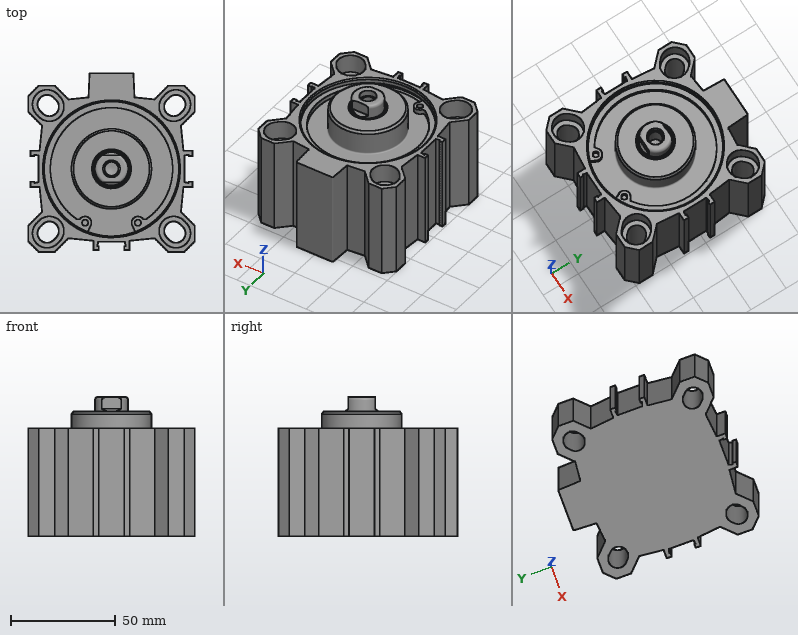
import cadquery as cq
import math


housing_height = 52.0
cover_top = 60.0
rod_top = 67.0

half_width = 40.0
wall_at_arm = 33.4
wall_at_rail = 34.6
arm_start = 20.7
arm_flat_start = arm_start + half_width - wall_at_arm
arm_flat_end = 34.9

rail_outer = 8.75
rail_lip_inner = 6.1
rail_web_inner = 6.75
rail_floor_inner = 6.35
rail_tip = 39.0
rail_lip_base = 37.1
rail_floor = 35.1
rail_root = 33.0
rail_side_angles = (0, 180, 270)

block_end = 46.0
block_end_half_width = 10.6
block_base_half_width = 11.15
block_root = 33.0
block_edge_radius = 0.5

hole_position = 30.4
hole_diameter = 9.0
counterbore_diameter = 14.0
counterbore_depth = 10.2
hole_stretch = 1.6

bore_diameter = 64.7
bore_chamfer = 0.7
groove_diameter = 68.2
ring_thickness = 2.5
ring_inner_diameter = 58.8
plate_top = 46.75
plate_thickness = 15.0
plate_bottom = plate_top - plate_thickness
ring_top = plate_top + ring_thickness

lug_distance = 28.85
lug_half_angle = 26.1
lug_radius = 3.05
lug_hole_diameter = 3.0
lug_fillet = 1.5

collar_diameter = 38.5
collar_chamfer_width = 1.0
collar_chamfer_height = 1.3
collar_fillet = 0.7

recess_diameter = 18.9
recess_floor_diameter = 18.0
recess_depth = 0.4
lip_outer_diameter = 17.7
lip_inner_diameter = 16.54
lip_height = 0.3

rod_diameter = 16.0
rod_edge_radius = 1.6
flat_distance = 6.5
flat_bottom = 61.3
flat_run_out = 1.5
thread_mouth_diameter = 8.25
thread_mouth_depth = 3.2
thread_core_diameter = 6.65
thread_core_depth = 15.0
drill_tip_angle = 160.0


def disc(diameter, bottom, top):
    return cq.Workplane("XY").workplane(offset=bottom).circle(diameter / 2).extrude(top - bottom)


def turned_about_z(points, angle):
    """Turn a list of XY points about the Z axis."""
    c = math.cos(math.radians(angle))
    s = math.sin(math.radians(angle))
    return [(x * c - y * s, x * s + y * c) for x, y in points]


def prism(points, height):
    return cq.Workplane("XY").polyline(points).close().extrude(height)


def revolved(profile):
    """Solid of revolution about Z from (radius, height) points."""
    return cq.Workplane("XZ").polyline(profile).close().revolve(360, (0, 0, 0), (0, 1, 0))



def housing_core():
    side_and_arm = [
        (wall_at_arm, -arm_start),
        (wall_at_rail, -rail_outer),
        (wall_at_rail, rail_outer),
        (wall_at_arm, arm_start),
        (half_width, arm_flat_start),
        (half_width, arm_flat_end),
        (arm_flat_end, half_width),
        (arm_flat_start, half_width),
    ]
    outline = []
    for angle in (0, 90, 180, 270):
        outline += turned_about_z(side_and_arm, angle)
    return prism(outline, housing_height)


def rail_pair(angle):
    upper_half = [
        (rail_floor, rail_floor_inner),
        (rail_lip_base, rail_web_inner),
        (rail_lip_base, rail_lip_inner),
        (rail_tip, rail_lip_inner),
        (rail_tip, rail_outer),
        (rail_root, rail_outer),
    ]
    lower_half = [(x, -y) for x, y in reversed(upper_half)]
    return prism(turned_about_z(upper_half + lower_half, angle), housing_height)


def port_block():
    outline = [
        (-block_base_half_width, block_root),
        (block_base_half_width, block_root),
        (block_end_half_width, block_end),
        (-block_end_half_width, block_end),
    ]
    block = prism(outline, housing_height)
    return block.faces(">Y").edges("|Z").fillet(block_edge_radius)


def diagonal_slot(diameter, bottom, angle):
    """Slot cutter at the corner in the given direction, open at the top of the housing."""
    return (
        cq.Workplane("XY")
        .workplane(offset=bottom)
        .transformed(rotate=(0, 0, angle))
        .center(hole_position * math.sqrt(2), 0)
        .slot2D(diameter + hole_stretch, diameter)
        .extrude(housing_height - bottom)
    )


def bore_cutter():
    """Bore down to the cover seat, with the snap ring groove and a chamfered mouth."""
    bore_radius = bore_diameter / 2
    profile = [
        (0, plate_bottom),
        (bore_radius, plate_bottom),
        (bore_radius, plate_top),
        (groove_diameter / 2, plate_top),
        (groove_diameter / 2, ring_top),
        (bore_radius, ring_top),
        (bore_radius, housing_height - bore_chamfer),
        (bore_radius + bore_chamfer, housing_height),
        (0, housing_height),
    ]
    return revolved(profile)


def make_housing():
    body = housing_core().union(port_block())
    for angle in rail_side_angles:
        body = body.union(rail_pair(angle))
    for angle in (45, 135, 225, 315):
        body = body.cut(diagonal_slot(hole_diameter, 0, angle))
        body = body.cut(diagonal_slot(counterbore_diameter, housing_height - counterbore_depth, angle))
    return body.cut(bore_cutter())



def make_cover():
    """Turned plate and collar; the rod fills its through hole below the seal recess."""
    collar_radius = collar_diameter / 2
    recess_bottom = cover_top - recess_depth
    profile = [
        (rod_diameter / 2, plate_bottom),
        (bore_diameter / 2, plate_bottom),
        (bore_diameter / 2, plate_top),
        (collar_radius, plate_top),
        (collar_radius, cover_top - collar_chamfer_height),
        (collar_radius - collar_chamfer_width, cover_top),
        (recess_diameter / 2, cover_top),
        (recess_floor_diameter / 2, recess_bottom),
        (lip_outer_diameter / 2, recess_bottom),
        (lip_inner_diameter / 2, recess_bottom + lip_height),
        (rod_diameter / 2, recess_bottom),
    ]
    cover = revolved(profile)
    root_band = cq.selectors.BoxSelector(
        (-collar_diameter, -collar_diameter, plate_top - 0.1),
        (collar_diameter, collar_diameter, plate_top + 0.1),
    )
    return cover.edges("%CIRCLE").edges(root_band).edges(cq.selectors.RadiusNthSelector(0)).fillet(collar_fillet)



def lug(side):
    """Eyelet with a straight shank reaching radially out; side is -1 or +1 along X."""
    angle = -90 + side * lug_half_angle
    shank_end = groove_diameter / 2
    shank_length = shank_end - lug_distance
    plane = cq.Workplane("XY").workplane(offset=plate_top).transformed(rotate=(0, 0, angle))
    eye = plane.center(lug_distance, 0).circle(lug_radius).extrude(ring_thickness)
    shank = plane.center(lug_distance + shank_length / 2, 0).rect(shank_length, 2 * lug_radius)
    return eye.union(shank.extrude(ring_thickness))


def lug_hole(side):
    angle = -90 + side * lug_half_angle
    x, y = turned_about_z([(lug_distance, 0)], angle)[0]
    return disc(lug_hole_diameter, plate_top, ring_top).translate((x, y, 0))


def make_snap_ring():
    outer = disc(groove_diameter, plate_top, ring_top)
    inner_radius = ring_inner_diameter / 2
    gap_reach = groove_diameter
    gap_corners = turned_about_z([(gap_reach, 0)], -90 - lug_half_angle)
    gap_corners += turned_about_z([(gap_reach, 0)], -90 + lug_half_angle)
    gap = prism([(0, 0)] + gap_corners, housing_height)
    ring = outer.cut(disc(ring_inner_diameter, plate_top, ring_top)).cut(gap)
    for side in (-1, 1):
        ring = ring.union(lug(side)).cut(lug_hole(side))
    ring = ring.intersect(outer)

    cosine = (inner_radius**2 + lug_distance**2 - lug_radius**2) / (2 * inner_radius * lug_distance)
    corner_half_angle = lug_half_angle + math.degrees(math.acos(cosine))
    for side in (-1, 1):
        x, y = turned_about_z([(inner_radius, 0)], -90 + side * corner_half_angle)[0]
        corner = cq.selectors.NearestToPointSelector((x, y, plate_top + ring_thickness / 2))
        ring = ring.edges("|Z").edges(corner).fillet(lug_fillet)
    return ring



def flat_cutter(side):
    """Removes the rod outside one wrench flat, with a 45 degree slope below it."""
    run_out_end = flat_distance + flat_run_out + 1
    profile = [
        (side * flat_distance, rod_top),
        (side * flat_distance, flat_bottom),
        (side * run_out_end, flat_bottom - (run_out_end - flat_distance)),
        (side * run_out_end, rod_top),
    ]
    return cq.Workplane("YZ").polyline(profile).close().extrude(rod_diameter / 2, both=True)


def thread_hole():
    core_radius = thread_core_diameter / 2
    mouth_bottom = rod_top - thread_mouth_depth
    core_bottom = rod_top - thread_core_depth
    tip_depth = core_radius / math.tan(math.radians(drill_tip_angle / 2))
    profile = [
        (0, rod_top),
        (thread_mouth_diameter / 2, rod_top),
        (thread_mouth_diameter / 2, mouth_bottom),
        (core_radius, mouth_bottom),
        (core_radius, core_bottom),
        (0, core_bottom - tip_depth),
    ]
    return revolved(profile)


def make_rod():
    rod = disc(rod_diameter, plate_bottom, rod_top).faces(">Z").edges().fillet(rod_edge_radius)
    for side in (-1, 1):
        rod = rod.cut(flat_cutter(side))
    return rod.cut(thread_hole())


housing = make_housing()
cover = make_cover()
snap_ring = make_snap_ring()
rod = make_rod()

result = cq.Compound.makeCompound([housing.val(), cover.val(), snap_ring.val(), rod.val()])